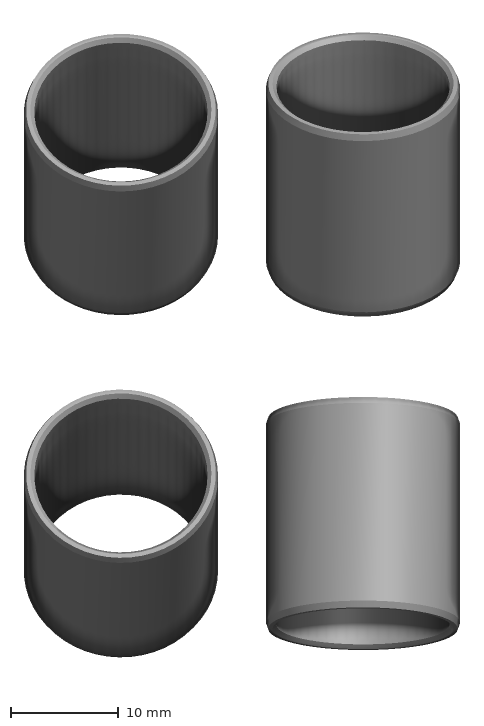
import cadquery as cq
import math

length = 20.0
outer_radius = 9.0
inner_radius = 8.02

outer_chamfer_height = 0.6
outer_chamfer_angle = 20.0
outer_chamfer_width = outer_chamfer_height * math.tan(math.radians(outer_chamfer_angle))
inner_chamfer = 0.35

half_length = length / 2
outer_end_radius = outer_radius - outer_chamfer_width
inner_end_radius = inner_radius + inner_chamfer

wall_section = (
    cq.Workplane("YZ")
    .moveTo(-inner_end_radius, -half_length)
    .lineTo(-outer_end_radius, -half_length)
    .lineTo(-outer_radius, -half_length + outer_chamfer_height)
    .lineTo(-outer_radius, half_length - outer_chamfer_height)
    .lineTo(-outer_end_radius, half_length)
    .lineTo(-inner_end_radius, half_length)
    .lineTo(-inner_radius, half_length - inner_chamfer)
    .lineTo(-inner_radius, -half_length + inner_chamfer)
    .close()
)

result = wall_section.revolve(360, (0, 0, 0), (0, 1, 0))